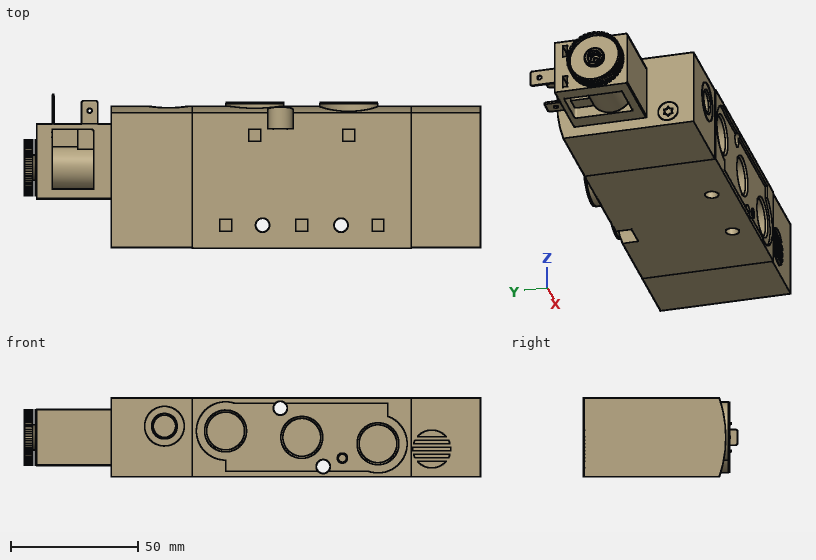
import cadquery as cq
import math


length = 179.6
height = 31.0
mid_z = height / 2
body_x0 = 66.1
body_x1 = 152.3
body_mid_x = (body_x0 + body_x1) / 2
cap_x0 = 34.1
cap_front_y = 0.4
back_edge_y = 53.5
back_crown_y = 56.0

port_bore = 15.0
port_mouth = 16.5
port_depth = 21.5
front_port_pitch = 30.0
back_port_pitch = 37.0
port_tilt = 2.5
boss_diameter = 23.0
boss_y = 57.7
boss_rim_diameter = 22.6
boss_rim_height = 0.7
boss_root = 1.8
gasket_depth = 0.9
gasket_end_x = 143.2
gasket_edge = 2.2
mount_diameter = 5.4
upright_pitch = 30.9
upright_y = 9.2
cross_offset_x = 8.5
cross_offset_z = 11.5
nut_slot_width = 10.0
nut_slot_y = 47.0
pilot_vent_x = 125.2
pilot_vent_z = 7.4
pilot_vent_bore = 3.2
pilot_vent_mouth = 4.0
pilot_vent_depth = 5.4
label_size = 4.7
label_depth = 0.2
front_label_y = upright_y
back_label_y = 44.5

pilot_x = 55.2
pilot_z = 20.0
pilot_bore = 8.8
pilot_mouth = 10.0
pilot_depth = 14.4
spotface_diameter = 15.6
spotface_depth = 0.2
back_spotface_x = 56.8
back_spotface_y = 54.3
screw_diameter = 8.0
screw_inset = 0.2
screw_y = 10.8
screw_z = 6.1
upper_screw_y = 48.1
star_tip = 2.2
star_root = 1.35
star_depth = 0.7
star_lobes = 6
vent_x = 160.5
vent_z = 11.0
vent_diameter = 15.0
vent_depth = 0.9
vent_rib = 1.5
vent_gap = 1.35
vent_ribs = 4

coil_x0 = 4.9
coil_y0 = 19.4
coil_y1 = 49.0
coil_height = 22.3
coil_z1 = mid_z + coil_height / 2
coil_chamfer = 0.4
axis_y = 31.8
window_x0 = 11.0
window_x1 = 27.3
window_y1 = 46.9
winding_diameter = 17.0
window_floor_z = 19.5
winding_axis_z = 17.6
window_corner = 0.9
ledge_x0 = 21.0
ledge_y0 = 38.8
ledge_z = 22.1
peep_y0 = 43.8
peep_width = 2.0
peep_z0 = 20.0
peep_height = 4.9

knob_diameter = 22.0
knob_thickness = 3.2
knob_neck = 10.0
flange_thickness = 0.63
knurl_count = 36
knurl_width = 0.9
knurl_depth = 0.45
knob_dish_diameter = 20.1
knob_dish_depth = 1.5
stem_diameter = 7.9
stem_socket = 5.4
stem_socket_depth = 1.5
stem_bore = 3.8
stem_bore_depth = 2.7
stem_pin_hole = 1.75
stem_pin_hole_depth = 3.6
stem_chamfer = 0.4

blade_hole = 1.75
blade_bevel_length = 0.7
blade_bevel = 0.2
blade_bevel_side = 0.5
ground_x = 11.3
ground_width = 6.3
ground_thickness = 0.7
ground_tip_y = 60.7
ground_hole_y = 57.0
power_x = 25.7
power_width = 6.5
power_thickness = 0.9
power_tip_y = 58.2
power_hole_y = 54.3
power_offset_z = 5.4


def box(x0, x1, y0, y1, z0, z1):
    return cq.Workplane("XY").box(x1 - x0, y1 - y0, z1 - z0, centered=False).translate((x0, y0, z0))


def cylinder_y(x, z, diameter, y0, y1):
    """Cylinder along Y from y0 to y1."""
    return cq.Workplane("XZ", origin=(x, y0, z)).circle(diameter / 2).extrude(y0 - y1)


def cylinder_x(y, z, diameter, x0, x1):
    """Cylinder along X from x0 to x1."""
    return cq.Workplane("YZ", origin=(x0, y, z)).circle(diameter / 2).extrude(x1 - x0)


def countersunk_bore(x, z, bore, mouth, y_face, depth, inward=1):
    """Blind bore along Y with a 45 degree mouth; inward is +1 from the front, -1 from the back."""
    chamfer = (mouth - bore) / 2
    profile = [
        (0, 0),
        (mouth / 2, 0),
        (bore / 2, inward * chamfer),
        (bore / 2, inward * depth),
        (0, inward * depth),
    ]
    return (
        cq.Workplane("XY").polyline(profile).close()
        .revolve(360, (0, 0, 0), (0, 1, 0)).translate((x, y_face, z))
    )


def domed_block(x0, x1, front_y):
    """Block with a flat front and an arched back."""
    return (
        cq.Workplane("YZ", origin=(x0, 0, 0))
        .moveTo(front_y, 0)
        .lineTo(back_edge_y, 0)
        .threePointArc((back_crown_y, mid_z), (back_edge_y, height))
        .lineTo(front_y, height)
        .close()
        .extrude(x1 - x0)
    )


def gasket_recess():
    """Shallow recess around the front ports with two opposite rounded corners."""
    left_x = body_mid_x - front_port_pitch
    right_x = body_mid_x + front_port_pitch
    recess = box(left_x, gasket_end_x, 0, gasket_depth, gasket_edge, height - gasket_edge)
    recess = recess.union(cylinder_y(left_x, mid_z + port_tilt, boss_diameter, 0, gasket_depth))
    return recess.union(cylinder_y(right_x, mid_z - port_tilt, boss_diameter, 0, gasket_depth))


def nut_slot(x, z, opening_z):
    """Round-bottomed slot at the back, open to the top or the bottom face."""
    slot = cylinder_y(x, z, nut_slot_width, nut_slot_y, boss_y)
    half = nut_slot_width / 2
    return slot.union(box(x - half, x + half, nut_slot_y, boss_y, min(z, opening_z), max(z, opening_z)))


def port_boss(x, z):
    """Collar around a back port, with a slightly smaller rim."""
    rim_y = boss_y - boss_rim_height
    collar = cylinder_y(x, z, boss_diameter, back_edge_y - boss_root, rim_y)
    return collar.union(cylinder_y(x, z, boss_rim_diameter, rim_y, boss_y))


def make_valve_body():
    body = domed_block(body_x0, body_x1, 0)
    front_ports = [(body_mid_x + i * front_port_pitch, mid_z - i * port_tilt) for i in (-1, 0, 1)]
    back_ports = [(body_mid_x + i * back_port_pitch / 2, mid_z + i * port_tilt) for i in (-1, 1)]

    for x, z in back_ports:
        body = body.union(port_boss(x, z))
        body = body.cut(countersunk_bore(x, z, port_bore, port_mouth, boss_y, port_depth, inward=-1))

    body = body.cut(gasket_recess())
    for x, z in front_ports:
        body = body.cut(countersunk_bore(x, z, port_bore, port_mouth, gasket_depth, port_depth))
    body = body.cut(countersunk_bore(
        pilot_vent_x, pilot_vent_z, pilot_vent_bore, pilot_vent_mouth, gasket_depth, pilot_vent_depth))

    for side in (-1, 1):
        upright_x = body_mid_x + side * upright_pitch / 2
        upright = cq.Workplane("XY").center(upright_x, upright_y).circle(mount_diameter / 2)
        body = body.cut(upright.extrude(height))
        cross_x = body_mid_x + side * cross_offset_x
        cross_z = mid_z - side * cross_offset_z
        body = body.cut(cylinder_y(cross_x, cross_z, mount_diameter, 0, boss_y))
        body = body.cut(nut_slot(cross_x, cross_z, 0 if side > 0 else height))

    label_places = [(x, front_label_y) for x, _ in front_ports] + [(x, back_label_y) for x, _ in back_ports]
    labels = cq.Workplane("XY", origin=(0, 0, height - label_depth)).pushPoints(label_places)
    return body.cut(labels.rect(label_size, label_size).extrude(label_depth))


def screw_recess(y, z):
    """Screw seat: shallow round recess with a six-lobed socket."""
    recess = cylinder_x(y, z, screw_diameter, cap_x0, cap_x0 + screw_inset)
    star = []
    for i in range(2 * star_lobes):
        radius = star_root if i % 2 else star_tip
        angle = math.pi / 2 + i * math.pi / star_lobes
        star.append((radius * math.cos(angle), radius * math.sin(angle)))
    socket = cq.Workplane("YZ", origin=(cap_x0, y, z)).polyline(star).close().extrude(star_depth)
    return recess.union(socket)


def make_solenoid_cap():
    cap = domed_block(cap_x0, body_x0, cap_front_y)
    floor_y = cap_front_y + spotface_depth
    cap = cap.cut(cylinder_y(pilot_x, pilot_z, spotface_diameter, cap_front_y, floor_y))
    cap = cap.cut(countersunk_bore(pilot_x, pilot_z, pilot_bore, pilot_mouth, floor_y, pilot_depth))
    cap = cap.cut(cylinder_y(back_spotface_x, mid_z, spotface_diameter, back_spotface_y, back_crown_y))
    cap = cap.cut(screw_recess(screw_y, screw_z))
    return cap.cut(screw_recess(upper_screw_y, height - screw_z))


def make_end_cap():
    cap = domed_block(body_x1, length, cap_front_y)
    floor_y = cap_front_y + vent_depth
    grille = cylinder_y(vent_x, vent_z, vent_diameter, cap_front_y, floor_y)
    for i in range(vent_ribs):
        rib_z = vent_z + (i - (vent_ribs - 1) / 2) * (vent_rib + vent_gap)
        rib = box(
            vent_x - vent_diameter, vent_x + vent_diameter, cap_front_y, floor_y,
            rib_z - vent_rib / 2, rib_z + vent_rib / 2)
        grille = grille.cut(rib)
    return cap.cut(grille)


def coil_window():
    """Opening in the upper half of the coil, around the winding and a ledge."""
    window_y0 = axis_y - winding_diameter / 2
    window = box(window_x0, window_x1, window_y0, window_y1, window_floor_z, coil_z1)
    window = window.edges("|Z and >X and >Y").fillet(window_corner)
    window = window.cut(cylinder_x(axis_y, winding_axis_z, winding_diameter, window_x0, window_x1))
    window = window.cut(box(ledge_x0, window_x1, ledge_y0, window_y1, window_floor_z, ledge_z))
    peep_hole = box(
        coil_x0, window_x0, peep_y0, peep_y0 + peep_width, peep_z0, peep_z0 + peep_height)
    return window.union(peep_hole)


def make_coil():
    coil = box(coil_x0, cap_x0, coil_y0, coil_y1, coil_z1 - coil_height, coil_z1)
    coil = coil.faces("<Y").edges("|X").chamfer(coil_chamfer)
    window = coil_window()
    coil = coil.cut(window)
    coil = coil.cut(window.mirror("XY", (0, 0, mid_z)))
    return coil.cut(cylinder_x(axis_y, mid_z, stem_diameter, coil_x0, window_x0))


def make_knob():
    """Knurled knob: dished outer disc, neck and a thin flange against the coil."""
    knob = cylinder_x(axis_y, mid_z, knob_diameter, 0, knob_thickness)
    knob = knob.union(cylinder_x(axis_y, mid_z, knob_neck, 0, coil_x0))
    knob = knob.union(cylinder_x(axis_y, mid_z, knob_diameter, coil_x0 - flange_thickness, coil_x0))
    grooves = (
        cq.Workplane("YZ", origin=(0, axis_y, mid_z))
        .polarArray(knob_diameter / 2, 180 / knurl_count, 360, knurl_count)
        .rect(2 * knurl_depth, knurl_width)
        .extrude(coil_x0)
    )
    knob = knob.cut(cylinder_x(axis_y, mid_z, knob_dish_diameter, 0, knob_dish_depth))
    return knob.cut(grooves).cut(cylinder_x(axis_y, mid_z, stem_diameter, 0, coil_x0))


def make_stem():
    """Stem that carries the knob, with a stepped socket in its free end."""
    stem = cylinder_x(axis_y, mid_z, stem_diameter, 0, window_x0).faces("<X").chamfer(stem_chamfer)
    steps = [
        (stem_socket, stem_socket_depth),
        (stem_bore, stem_bore_depth),
        (stem_pin_hole, stem_pin_hole_depth),
    ]
    for diameter, depth in steps:
        stem = stem.cut(cylinder_x(axis_y, mid_z, diameter, 0, depth))
    return stem


def make_blade(width, thickness, tip_y, hole_y):
    """Flat terminal along Y, width along X, centred on the Z axis, with a bevelled tip."""
    shoulder_y = tip_y - blade_bevel_length
    blade = box(-width / 2, width / 2, coil_y1, shoulder_y, -thickness / 2, thickness / 2)
    tip = (
        cq.Workplane("XZ", origin=(0, shoulder_y, 0)).rect(width, thickness)
        .workplane(offset=-blade_bevel_length)
        .rect(width - 2 * blade_bevel_side, thickness - 2 * blade_bevel)
        .loft(ruled=True)
    )
    hole = cq.Workplane("XY").center(0, hole_y).circle(blade_hole / 2).extrude(thickness, both=True)
    return blade.union(tip).cut(hole)


def make_ground_blade():
    blade = make_blade(ground_width, ground_thickness, ground_tip_y, ground_hole_y)
    return blade.rotate((0, 0, 0), (0, 1, 0), 90).translate((ground_x, 0, mid_z))


def make_power_blade(side):
    blade = make_blade(power_width, power_thickness, power_tip_y, power_hole_y)
    return blade.translate((power_x, 0, mid_z + side * power_offset_z))


valve_body = make_valve_body()
solenoid_cap = make_solenoid_cap()
end_cap = make_end_cap()
coil = make_coil()
knob = make_knob()
stem = make_stem()
ground_blade = make_ground_blade()
power_blades = [make_power_blade(side) for side in (-1, 1)]

result = cq.Compound.makeCompound([
    valve_body.val(),
    solenoid_cap.val(),
    end_cap.val(),
    coil.val(),
    knob.val(),
    stem.val(),
    ground_blade.val(),
    *[blade.val() for blade in power_blades],
])